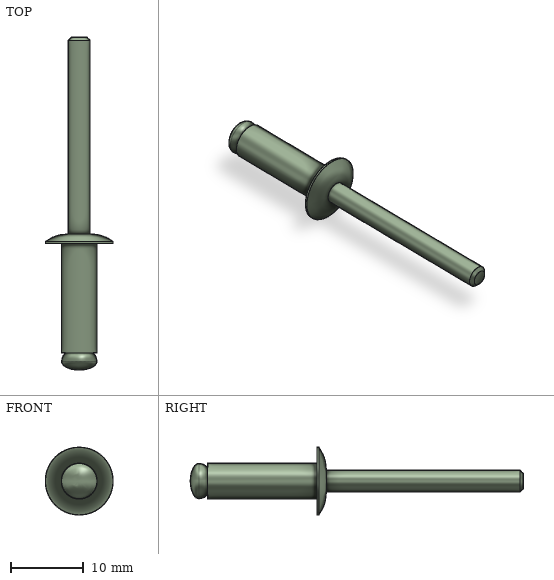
import cadquery as cq
import math

total_length = 45.7
mandrel_radius = 1.5
mandrel_chamfer = 0.45
flange_radius = 4.65
flange_rim = 0.27
flange_height = 1.33
body_radius = 2.45
body_length = 15.0
head_radius = 2.4
head_length = 2.38
head_widest = head_length / 2
head_neck_radius = 1.87

body_start = head_length
flange_start = body_start + body_length
rim_end = flange_start + flange_rim
flange_end = flange_start + flange_height

dome_rise = flange_end - rim_end
dome_run = flange_radius - mandrel_radius
dome_radius = (dome_run**2 + dome_rise**2) / (2 * dome_rise)
dome_half_angle = math.asin(dome_run / dome_radius) / 2
dome_middle = (
    mandrel_radius + dome_radius * math.sin(dome_half_angle),
    flange_end - dome_radius * (1 - math.cos(dome_half_angle)),
)

shoulder_length = head_length - head_widest
shoulder_drop = head_radius - head_neck_radius
shoulder_radius = (shoulder_length**2 + shoulder_drop**2) / (2 * shoulder_drop)
shoulder_half_angle = math.asin(shoulder_length / shoulder_radius) / 2
shoulder_middle = (
    head_radius - shoulder_radius * (1 - math.cos(shoulder_half_angle)),
    head_widest + shoulder_radius * math.sin(shoulder_half_angle),
)

half_profile = (
    cq.Workplane("XY")
    .moveTo(0, 0)
    .ellipseArc(head_radius, head_widest, angle1=270, angle2=360, startAtCurrent=True)
    .threePointArc(shoulder_middle, (head_neck_radius, head_length))
    .lineTo(body_radius, body_start)
    .lineTo(body_radius, flange_start)
    .lineTo(flange_radius, flange_start)
    .lineTo(flange_radius, rim_end)
    .threePointArc(dome_middle, (mandrel_radius, flange_end))
    .lineTo(mandrel_radius, total_length - mandrel_chamfer)
    .lineTo(mandrel_radius - mandrel_chamfer, total_length)
    .lineTo(0, total_length)
    .close()
)

result = half_profile.revolve(360, (0, 0, 0), (0, 1, 0))